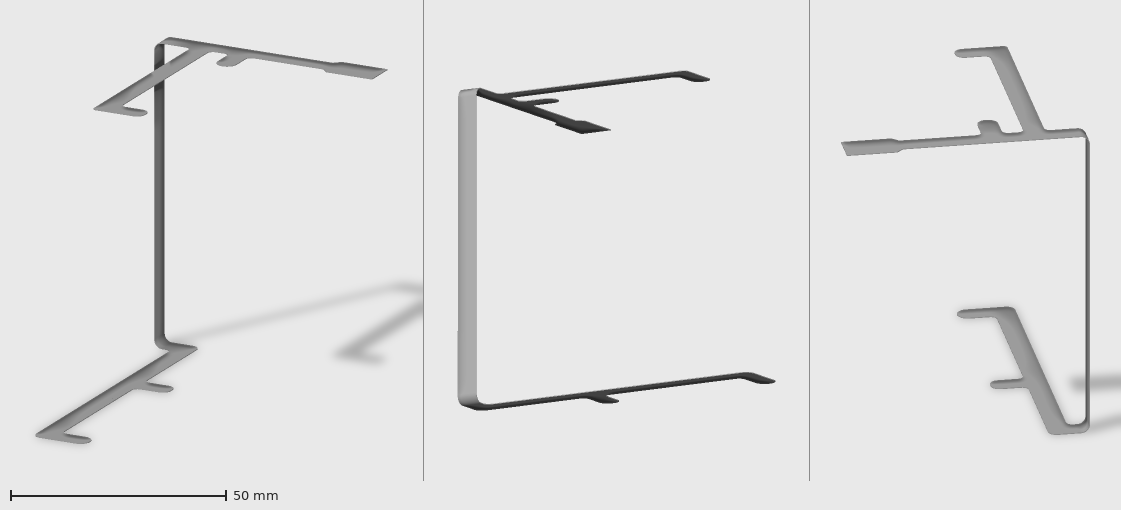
import cadquery as cq


LENGTH = 57.6
DEPTH = 77.9
HEIGHT = 75.0
THICKNESS = 0.2
BEND_RADIUS = 2.1

UPPER_WIDTH = 4.9
LOWER_WIDTH = 5.1
LOWER_REAR = LOWER_WIDTH - UPPER_WIDTH

TERMINAL_START = 38.2
BLADE_START = 44.15
BLADE_OVERHANG = 1.55
FRONT_END = BLADE_OVERHANG - DEPTH

UPPER_ARM_X = 9.7
UPPER_ARM_END = -55.8
UPPER_HOOK_TIP = 22.4
FINGER_X = 19.7
FINGER_TIP = -13.5

LOWER_ARM_X = 4.5
LOWER_HOOK_TIP = 18.3
TOOTH_REAR = -28.8
TOOTH_TIP = 18.0

INNER_RADIUS = 1.5
TIP_RADIUS = 2.1
UPPER_CORNER_RADIUS = 1.0
LOWER_CORNER_RADIUS = 2.0


def plate(points, base):
    """A flat plate of the strip thickness with its underside at height base."""
    return cq.Workplane("XY").workplane(offset=base).polyline(points).close().extrude(THICKNESS)


def round_corners(body, points, radius):
    """Round the upright edges of a flat plate that stand at the given points."""
    middle = body.val().BoundingBox().center.z
    for x, y in points:
        body = body.edges(cq.NearestToPointSelector((x, y, middle))).fillet(radius)
    return body


def rounded_end(x, y, width, base):
    """A disc whose half turns the end of a finger of the given width into a full round."""
    return cq.Workplane("XY", origin=(x, y, base)).circle(width / 2).extrude(THICKNESS)


def make_terminal():
    """The blade, wider than the strip and joined to it by sloped shoulders."""
    blade_full = BLADE_START + BLADE_OVERHANG
    front = -UPPER_WIDTH
    points = [
        (TERMINAL_START, 0),
        (BLADE_START, 0),
        (blade_full, BLADE_OVERHANG),
        (LENGTH, BLADE_OVERHANG),
        (LENGTH, front - BLADE_OVERHANG),
        (blade_full, front - BLADE_OVERHANG),
        (BLADE_START, front),
        (TERMINAL_START, front),
    ]
    return plate(points, HEIGHT - THICKNESS)


def make_upper_flange():
    """The upper plate with its hooked arm and a round-ended finger."""
    base = HEIGHT - THICKNESS
    front = -UPPER_WIDTH
    arm_right = UPPER_ARM_X + UPPER_WIDTH
    hook_rear = UPPER_ARM_END + UPPER_WIDTH
    finger_right = FINGER_X + UPPER_WIDTH
    finger_straight_end = FINGER_TIP + UPPER_WIDTH / 2
    points = [
        (BEND_RADIUS, 0),
        (TERMINAL_START, 0),
        (TERMINAL_START, front),
        (finger_right, front),
        (finger_right, finger_straight_end),
        (FINGER_X, finger_straight_end),
        (FINGER_X, front),
        (arm_right, front),
        (arm_right, hook_rear),
        (UPPER_HOOK_TIP, hook_rear),
        (UPPER_HOOK_TIP, UPPER_ARM_END),
        (UPPER_ARM_X, UPPER_ARM_END),
        (UPPER_ARM_X, front),
        (BEND_RADIUS, front),
    ]
    inner_corners = [
        (finger_right, front),
        (FINGER_X, front),
        (arm_right, front),
        (arm_right, hook_rear),
        (UPPER_ARM_X, front),
    ]
    tip_corners = [(UPPER_HOOK_TIP, hook_rear), (UPPER_HOOK_TIP, UPPER_ARM_END)]
    flange = plate(points, base)
    flange = round_corners(flange, inner_corners, INNER_RADIUS)
    flange = round_corners(flange, tip_corners, TIP_RADIUS)
    flange = round_corners(flange, [(UPPER_ARM_X, UPPER_ARM_END)], UPPER_CORNER_RADIUS)
    return flange.union(rounded_end(FINGER_X + UPPER_WIDTH / 2, finger_straight_end, UPPER_WIDTH, base))


def make_lower_flange():
    """The lower plate: a round-ended hooked arm with a side tooth."""
    front = -UPPER_WIDTH
    arm_right = LOWER_ARM_X + LOWER_WIDTH
    hook_rear = FRONT_END + LOWER_WIDTH
    hook_straight_end = LOWER_HOOK_TIP - LOWER_WIDTH / 2
    tooth_front = TOOTH_REAR - UPPER_WIDTH
    points = [
        (BEND_RADIUS, LOWER_REAR),
        (arm_right, LOWER_REAR),
        (arm_right, TOOTH_REAR),
        (TOOTH_TIP, TOOTH_REAR),
        (TOOTH_TIP, tooth_front),
        (arm_right, tooth_front),
        (arm_right, hook_rear),
        (hook_straight_end, hook_rear),
        (hook_straight_end, FRONT_END),
        (LOWER_ARM_X, FRONT_END),
        (LOWER_ARM_X, front),
        (BEND_RADIUS, front),
    ]
    inner_corners = [
        (arm_right, TOOTH_REAR),
        (arm_right, tooth_front),
        (arm_right, hook_rear),
        (LOWER_ARM_X, front),
    ]
    outer_corners = [(arm_right, LOWER_REAR), (LOWER_ARM_X, FRONT_END)]
    tip_corners = [(TOOTH_TIP, TOOTH_REAR), (TOOTH_TIP, tooth_front)]
    flange = plate(points, 0)
    flange = round_corners(flange, inner_corners, INNER_RADIUS)
    flange = round_corners(flange, outer_corners, LOWER_CORNER_RADIUS)
    flange = round_corners(flange, tip_corners, TIP_RADIUS)
    return flange.union(rounded_end(hook_straight_end, FRONT_END + LOWER_WIDTH / 2, LOWER_WIDTH, 0))


def make_bend(center_z, rear, upward):
    """A quarter-round bend from the web to a flange, the flange lying above or below its centre."""
    side = 1 if upward else -1
    ring = (
        cq.Workplane("XZ", origin=(BEND_RADIUS, rear, center_z))
        .circle(BEND_RADIUS)
        .circle(BEND_RADIUS - THICKNESS)
        .extrude(rear + UPPER_WIDTH)
    )
    quarter = cq.Workplane("XY").box(BEND_RADIUS, 2 * DEPTH, BEND_RADIUS)
    quarter = quarter.translate((BEND_RADIUS / 2, 0, center_z + side * BEND_RADIUS / 2))
    return ring.intersect(quarter)


def make_web():
    """The upright strip, widening evenly toward its lower end."""
    bottom = BEND_RADIUS
    top = HEIGHT - BEND_RADIUS
    points = [(0, top), (-UPPER_WIDTH, top), (-UPPER_WIDTH, bottom), (LOWER_REAR, bottom)]
    return cq.Workplane("YZ").polyline(points).close().extrude(THICKNESS)


terminal = make_terminal()
upper_flange = make_upper_flange()
upper_bend = make_bend(HEIGHT - BEND_RADIUS, 0, upward=True)
web = make_web()
lower_bend = make_bend(BEND_RADIUS, LOWER_REAR, upward=False)
lower_flange = make_lower_flange()

result = cq.Compound.makeCompound(
    [
        terminal.val(),
        upper_flange.val(),
        upper_bend.val(),
        web.val(),
        lower_bend.val(),
        lower_flange.val(),
    ]
)